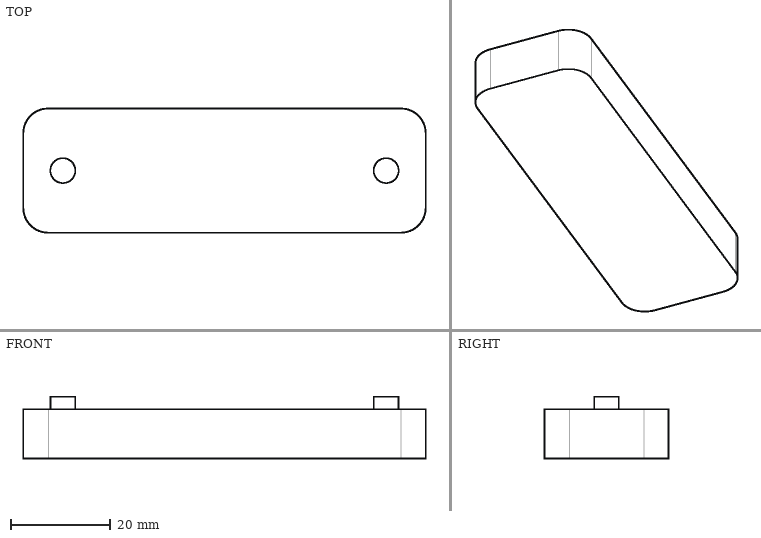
import cadquery as cq

length = 81.0
width = 25.0
body_height = 10.0
corner_radius = 5.0

overall_height = 12.5
peg_height = overall_height - body_height
peg_diameter = 5.0
peg_spacing = 65.05


def make_body():
    block = cq.Workplane("XY").box(length, width, body_height, centered=(True, True, False))
    return block.edges("|Z").fillet(corner_radius)


def make_pegs():
    return (
        cq.Workplane("XY", origin=(0, 0, body_height))
        .pushPoints([(-peg_spacing / 2, 0), (peg_spacing / 2, 0)])
        .circle(peg_diameter / 2)
        .extrude(peg_height)
    )


result = make_body().union(make_pegs())